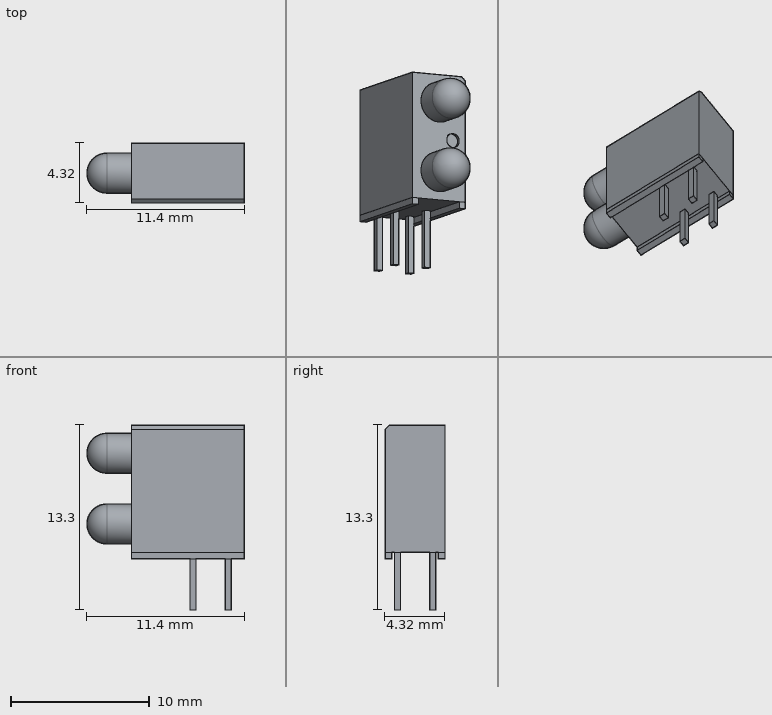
import cadquery as cq

total_height = 13.33

housing_length = 8.15
housing_width = 4.32
edge_chamfer = 0.3

foot_width = 0.49
foot_height = 0.47

lead_thickness = 0.45
lead_pitch = 2.55
first_lead_x = 4.44
lead_below_foot = 3.69

lens_diameter = 2.9
lens_projection = 3.2
lens_pitch = 5.09
top_to_upper_lens = 2.03

recess_diameter = 1.01
recess_depth = 0.25
recess_y = -1.15
top_to_recess = 4.73

housing_bottom = lead_below_foot + foot_height
housing_height = total_height - housing_bottom
lens_radius = lens_diameter / 2
upper_lens_z = total_height - top_to_upper_lens
recess_z = total_height - top_to_recess
foot_y = (housing_width - foot_width) / 2


def make_block(length, width, height, x, y, bottom):
    """Box centred on (x, y) and standing on the height `bottom`."""
    block = cq.Workplane("XY").box(length, width, height, centered=(True, True, False))
    return block.translate((x, y, bottom))


def make_housing():
    """Block with one chamfered top edge and a shallow round recess in its lens face."""
    body = make_block(
        housing_length, housing_width, housing_height, housing_length / 2, 0, housing_bottom
    )
    body = body.faces(">Z").edges("<Y").chamfer(edge_chamfer)
    recess = (
        cq.Workplane("YZ")
        .center(recess_y, recess_z)
        .circle(recess_diameter / 2)
        .extrude(recess_depth)
    )
    return body.cut(recess)


def make_lens(z):
    """Cylinder with a hemispherical tip, standing out from the housing towards -X."""
    dome_start = lens_radius - lens_projection
    half_diagonal = lens_radius / 2**0.5
    half_profile = (
        cq.Workplane("XY")
        .lineTo(0, lens_radius)
        .lineTo(dome_start, lens_radius)
        .threePointArc((dome_start - half_diagonal, half_diagonal), (-lens_projection, 0))
        .close()
    )
    return half_profile.revolve(360, (0, 0), (1, 0)).translate((0, 0, z))


def make_foot(y):
    """Rail under the housing along its full length."""
    return make_block(housing_length, foot_width, foot_height, housing_length / 2, y, lead_below_foot)


def make_lead(x, y):
    """Square lead hanging from the underside of the housing."""
    return make_block(lead_thickness, lead_thickness, housing_bottom, x, y, 0)


housing = make_housing()
lenses = [make_lens(z) for z in (upper_lens_z, upper_lens_z - lens_pitch)]
feet = [make_foot(y) for y in (-foot_y, foot_y)]
leads = [
    make_lead(x, y)
    for x in (first_lead_x, first_lead_x + lead_pitch)
    for y in (-lead_pitch / 2, lead_pitch / 2)
]

bodies = [housing, *lenses, *feet, *leads]
result = cq.Compound.makeCompound([body.val() for body in bodies])